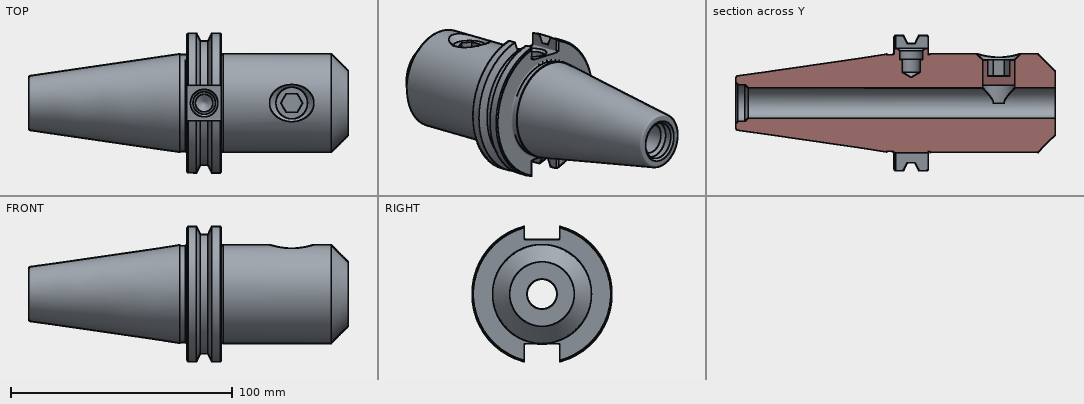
import cadquery as cq
import math

total_length = 144.5

taper_end_x = 68.2
taper_radius = 44.5 / 2
taper_slope = 7 / 48
nose_fillet = 1.0

neck_radius = 43.9 / 2
neck_fillet = 0.7

flange_start_x = 71.5
flange_width = 15.6
flange_radius = 31.6
flange_chamfer = 0.6
groove_center_x = flange_start_x + flange_width / 2
groove_floor_width = 3.5
groove_top_width = 7.0
groove_floor_radius = 28.2

body_radius = 22.4
body_root_chamfer = 0.9
body_end_chamfer = 7.8

bore_radius = 13.5 / 2
counterbore_radius = 16.5 / 2
counterbore_end_x = 4.2
bore_entry_radius = 18.5 / 2

slot_width = 16.0
upper_slot_floor_z = 24.7
lower_slot_floor_z = -22.5
slot_floor_fillet = 0.6
slot_front_chamfer = 0.9

pilot_rim_radius = 6.2
pilot_radius = 10.1 / 2
pilot_depth = 4.9
pilot_small_radius = 8.0 / 2
pilot_small_depth = 10.7
pilot_tip_depth = 2.3

screw_x = 118.9
screw_radius = 14.3 / 2
screw_top_z = 19.5
screw_length = 11.5
hex_across_flats = 8.5
hex_depth = 7.2

flange_end_x = flange_start_x + flange_width


def make_revolved_body():
    """Outer shape of the holder, revolved about X from its half profile."""
    nose_radius = taper_radius - taper_slope * taper_end_x
    taper_angle = math.atan(taper_slope)
    nose_tangent = nose_fillet * math.tan((math.pi / 2 - taper_angle) / 2)
    nose_fillet_end = (
        nose_tangent * math.cos(taper_angle),
        nose_radius + nose_tangent * math.sin(taper_angle),
    )
    neck_fillet_start_x = flange_start_x - neck_fillet
    arc_offset = neck_fillet * (1 - math.sqrt(0.5))
    groove_half_floor = groove_floor_width / 2
    groove_half_top = groove_top_width / 2
    flange_edge_radius = flange_radius - flange_chamfer

    profile = (
        cq.Workplane("XY")
        .moveTo(0, 0)
        .lineTo(0, nose_radius - nose_tangent)
        .tangentArcPoint(nose_fillet_end, relative=False)
        .lineTo(taper_end_x, taper_radius)
        .lineTo(taper_end_x, neck_radius)
        .lineTo(neck_fillet_start_x, neck_radius)
        .threePointArc(
            (flange_start_x - arc_offset, neck_radius + arc_offset),
            (flange_start_x, neck_radius + neck_fillet),
        )
        .lineTo(flange_start_x, flange_edge_radius)
        .lineTo(flange_start_x + flange_chamfer, flange_radius)
        .lineTo(groove_center_x - groove_half_top, flange_radius)
        .lineTo(groove_center_x - groove_half_floor, groove_floor_radius)
        .lineTo(groove_center_x + groove_half_floor, groove_floor_radius)
        .lineTo(groove_center_x + groove_half_top, flange_radius)
        .lineTo(flange_end_x - flange_chamfer, flange_radius)
        .lineTo(flange_end_x, flange_edge_radius)
        .lineTo(flange_end_x, body_radius - body_root_chamfer / 2)
        .lineTo(flange_end_x + body_root_chamfer, body_radius)
        .lineTo(total_length - body_end_chamfer, body_radius)
        .lineTo(total_length, body_radius - body_end_chamfer)
        .lineTo(total_length, 0)
        .close()
    )
    return profile.revolve(360, (0, 0, 0), (1, 0, 0))


def make_bore():
    """Through bore with a chamfered counterbore at the taper end; both steps are 45 degrees."""
    entry_depth = bore_entry_radius - counterbore_radius
    step_end_x = counterbore_end_x + counterbore_radius - bore_radius
    profile = cq.Workplane("XY").polyline([
        (0, 0),
        (0, bore_entry_radius),
        (entry_depth, counterbore_radius),
        (counterbore_end_x, counterbore_radius),
        (step_end_x, bore_radius),
        (total_length, bore_radius),
        (total_length, 0),
    ]).close()
    return profile.revolve(360, (0, 0, 0), (1, 0, 0))


def make_slot(floor_z):
    """Cutter for one drive slot, open outward, with filleted floor and chamfered front edges."""
    depth = flange_radius - abs(floor_z)
    slot = (
        cq.Workplane("XY")
        .box(flange_width, slot_width, depth, centered=(False, True, False))
        .edges("|X and <Z")
        .fillet(slot_floor_fillet)
    )
    half_width = slot_width / 2
    front_wedge = cq.Workplane("XY").workplane(offset=slot_floor_fillet).polyline([
        (0, -half_width - slot_front_chamfer),
        (0, half_width + slot_front_chamfer),
        (slot_front_chamfer, half_width),
        (slot_front_chamfer, -half_width),
    ]).close().extrude(depth - slot_floor_fillet)
    slot = slot.union(front_wedge)
    if floor_z < 0:
        slot = slot.rotate((0, 0, 0), (1, 0, 0), 180)
    return slot.translate((flange_start_x, 0, floor_z))


def make_pilot_hole():
    """Chamfered blind hole that steps down to a smaller hole with a conical bottom."""
    rim_chamfer = pilot_rim_radius - pilot_radius
    profile = cq.Workplane("XZ").polyline([
        (0, 0),
        (pilot_rim_radius, 0),
        (pilot_radius, -rim_chamfer),
        (pilot_radius, -pilot_depth),
        (pilot_small_radius, -pilot_depth),
        (pilot_small_radius, -pilot_small_depth),
        (0, -pilot_small_depth - pilot_tip_depth),
    ]).close()
    hole = profile.revolve(360, (0, 0, 0), (0, 1, 0))
    return hole.translate((groove_center_x, 0, upper_slot_floor_z))


def make_screw_hole():
    """Hole from the bore axis up to the screw head, opening outward as a 45 degree cone."""
    cone_height = body_radius - screw_top_z
    profile = cq.Workplane("XZ").polyline([
        (0, 0),
        (screw_radius, 0),
        (screw_radius, screw_top_z),
        (screw_radius + cone_height, body_radius),
        (0, body_radius),
    ]).close()
    return profile.revolve(360, (0, 0, 0), (0, 1, 0)).translate((screw_x, 0, 0))


def make_holder():
    holder = make_revolved_body().cut(make_bore())
    for floor_z in (upper_slot_floor_z, lower_slot_floor_z):
        holder = holder.cut(make_slot(floor_z))
    return holder.cut(make_pilot_hole()).cut(make_screw_hole())


def make_screw():
    """Headless clamping screw with a hexagon socket in its top."""
    hex_across_corners = hex_across_flats / math.cos(math.pi / 6)
    return (
        cq.Workplane("XY", origin=(screw_x, 0, screw_top_z))
        .circle(screw_radius)
        .extrude(-screw_length)
        .faces(">Z")
        .workplane()
        .polygon(6, hex_across_corners)
        .cutBlind(-hex_depth)
    )


holder = make_holder()
clamping_screw = make_screw()

result = cq.Compound.makeCompound([holder.val(), clamping_screw.val()])